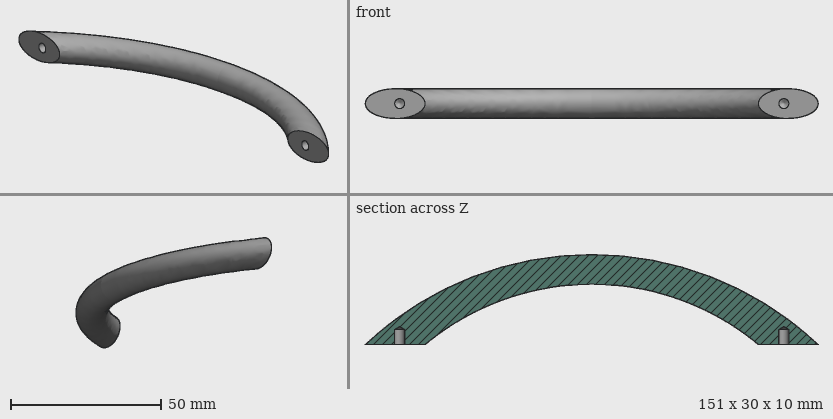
import cadquery as cq
import math

length = 151.0
rise = 30.0
grip_diameter = 10.0
foot_length = 2 * grip_diameter
hole_spacing = 128.0
hole_diameter = 3.3
hole_depth = 5.0
drill_point_angle = 118.0
section_count = 9


def bow_arc(half_span, height):
    """Radius and half angle of an arc centred on X = 0 with its ends at Y = 0."""
    radius = (half_span**2 + height**2) / (2 * height)
    return radius, math.asin(half_span / radius)


def arc_point(arc, height, fraction):
    """Point on a bow arc, from the crown (fraction 0) to the foot (fraction 1)."""
    radius, half_angle = arc
    angle = fraction * half_angle
    return cq.Vector(radius * math.sin(angle), height - radius * (1 - math.cos(angle)), 0)


inner_rise = rise - grip_diameter
outer_arc = bow_arc(length / 2, rise)
inner_arc = bow_arc(length / 2 - foot_length, inner_rise)


def bow_section(fraction):
    """Ellipse spanning the two arcs; round at the crown and stretched at the foot."""
    outer = arc_point(outer_arc, rise, fraction)
    inner = arc_point(inner_arc, inner_rise, fraction)
    across = outer - inner
    ellipse = cq.Edge.makeEllipse(
        across.Length / 2,
        grip_diameter / 2,
        pnt=(outer + inner) * 0.5,
        dir=across.cross(cq.Vector(0, 0, 1)),
        xdir=across,
    )
    return cq.Wire.assembleEdges([ellipse])


def foot_hole(x):
    """Blind screw hole with a drill point, entering a foot along +Y."""
    radius = hole_diameter / 2
    point_length = radius / math.tan(math.radians(drill_point_angle / 2))
    return (
        cq.Workplane("XY")
        .moveTo(x, 0)
        .lineTo(x + radius, 0)
        .lineTo(x + radius, hole_depth)
        .lineTo(x, hole_depth + point_length)
        .close()
        .revolve(360, (x, 0, 0), (x, 1, 0))
    )


sections = [bow_section(i / (section_count - 1)) for i in range(section_count)]
half_bow = cq.Workplane("XY").add(cq.Solid.makeLoft(sections))
bow = half_bow.union(half_bow.mirror("YZ"))

for side in (-1, 1):
    bow = bow.cut(foot_hole(side * hole_spacing / 2))

result = bow